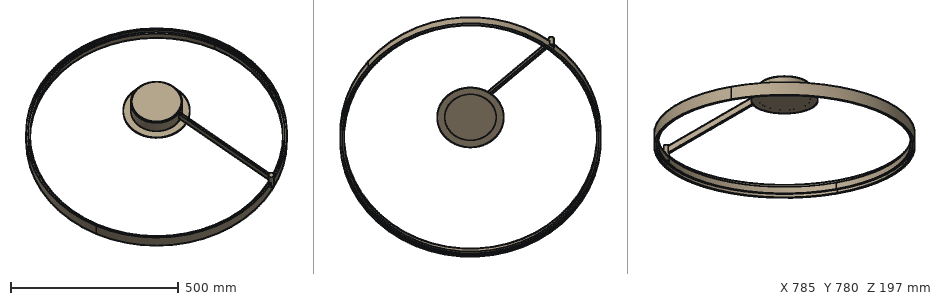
import cadquery as cq
import math

RING_RADIUS = 390.0
OUTER_BAND_THICKNESS = 6.0
INNER_BAND_THICKNESS = 6.0
RING_HEIGHT = 41.0
BAND_STEP = 10.0

POST_RADIUS = 9.0
POST_X = 386.0
POST_BOTTOM = 20.0
POST_TOP = 70.0

TOTAL_HEIGHT = 197.0
PLATE_RADIUS = 100.0
PLATE_BOTTOM = 149.0
PLATE_THICKNESS = 3.0
HOUSING_RADIUS = 77.0
HOUSING_CHAMFER = 3.0

ARM_WIDTH = 7.0
ARM_DEPTH = 20.5
ARM_START_Z = 177.0
ARM_END_Z = 53.0
TRIM_LENGTH = 8.0


def cylinder(radius, bottom, top, x=0):
    return cq.Workplane("XY", origin=(x, 0, bottom)).circle(radius).extrude(top - bottom)


def make_post():
    return cylinder(POST_RADIUS, POST_BOTTOM, POST_TOP, POST_X)


def make_ring():
    """Full ring before it is split."""
    band_joint = RING_RADIUS - OUTER_BAND_THICKNESS
    inner_radius = band_joint - INNER_BAND_THICKNESS
    outer_band = cylinder(RING_RADIUS, 0, RING_HEIGHT).cut(cylinder(band_joint, 0, RING_HEIGHT))
    step_top = RING_HEIGHT - BAND_STEP
    inner_band = cylinder(band_joint, BAND_STEP, step_top).cut(
        cylinder(inner_radius, BAND_STEP, step_top)
    )
    return outer_band.union(inner_band)


def make_half_ring(ring, side):
    """Half of the ring on the +X (side = 1) or -X (side = -1) side, cleared for the post."""
    half_space = cq.Workplane("XY").box(
        RING_RADIUS, 2 * RING_RADIUS, RING_HEIGHT, centered=(True, True, False)
    ).translate((side * RING_RADIUS / 2, 0, 0))
    return ring.intersect(half_space).cut(make_post())


def make_canopy():
    """Housing and the thin plate that forms its flange, as one piece."""
    plate = cylinder(PLATE_RADIUS, PLATE_BOTTOM, PLATE_BOTTOM + PLATE_THICKNESS)
    housing = cylinder(HOUSING_RADIUS, PLATE_BOTTOM, TOTAL_HEIGHT)
    housing = housing.faces(">Z").edges().chamfer(HOUSING_CHAMFER)
    return plate.union(housing)


def make_arm(canopy):
    """Sloping bar fused with its post; the bar's upper end fits the housing wall."""
    slope = math.atan2(ARM_START_Z - ARM_END_Z, POST_X - HOUSING_RADIUS)
    half_rise = ARM_DEPTH / math.cos(slope) / 2
    start_x = HOUSING_RADIUS - TRIM_LENGTH
    start_z = ARM_START_Z + TRIM_LENGTH * math.tan(slope)
    bar = (
        cq.Workplane("XZ")
        .moveTo(start_x, start_z - half_rise)
        .lineTo(POST_X, ARM_END_Z - half_rise)
        .lineTo(POST_X, ARM_END_Z + half_rise)
        .lineTo(start_x, start_z + half_rise)
        .close()
        .extrude(ARM_WIDTH / 2, both=True)
    )
    return bar.cut(canopy).union(make_post())


ring = make_ring()
half_rings = [make_half_ring(ring, side) for side in (-1, 1)]
canopy = make_canopy()
arm = make_arm(canopy)

result = cq.Compound.makeCompound([*[half.val() for half in half_rings], canopy.val(), arm.val()])